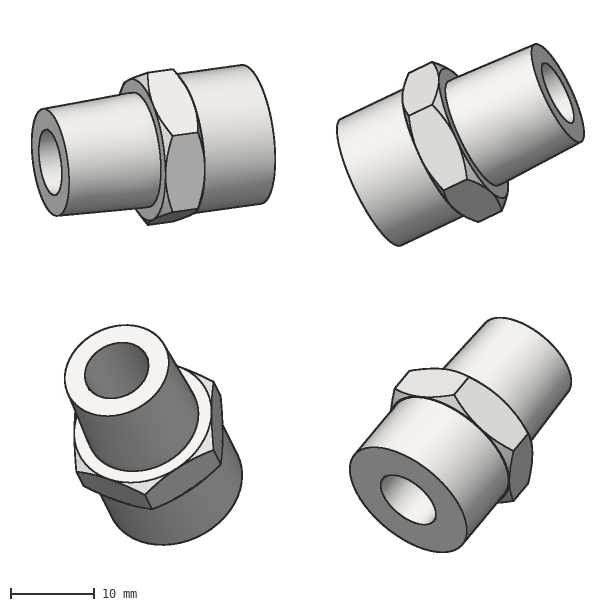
import cadquery as cq
import math

across_flats = 17.0
across_corners = across_flats / math.cos(math.radians(30))
hex_width = 5.0
chamfer_circle_diameter = 17.0
chamfer_length = 0.9

rear_diameter = 16.75
rear_length = 9.0

spigot_diameter = 13.8
spigot_tip_diameter = 12.9
spigot_length = 11.5
spigot_straight_length = 0.85

bore_diameter = 7.9

tip_y = 0.0
hex_front_y = tip_y + spigot_length
taper_end_y = hex_front_y - spigot_straight_length
hex_rear_y = hex_front_y + hex_width
rear_end_y = hex_rear_y + rear_length


def revolve_about_y(points):
    """Revolve a closed (radius, y) outline around the Y axis."""
    return cq.Workplane("XY").polyline(points).close().revolve(360, (0, 0, 0), (0, 1, 0))


def cylinder_along_y(diameter, start_y, end_y):
    return revolve_about_y([
        (0, start_y),
        (diameter / 2, start_y),
        (diameter / 2, end_y),
        (0, end_y),
    ])


def make_hex():
    """Hexagon with corners at top and bottom, its corners turned off conically."""
    prism = (
        cq.Workplane("XZ", origin=(0, hex_rear_y, 0))
        .transformed(rotate=(0, 0, 90))
        .polygon(6, across_corners)
        .extrude(hex_width)
    )
    turned_blank = revolve_about_y([
        (0, hex_front_y),
        (chamfer_circle_diameter / 2, hex_front_y),
        (across_corners / 2, hex_front_y + chamfer_length),
        (across_corners / 2, hex_rear_y - chamfer_length),
        (chamfer_circle_diameter / 2, hex_rear_y),
        (0, hex_rear_y),
    ])
    return prism.intersect(turned_blank)


def make_spigot():
    """Tapered spigot with a short straight neck against the hex."""
    return revolve_about_y([
        (0, tip_y),
        (spigot_tip_diameter / 2, tip_y),
        (spigot_diameter / 2, taper_end_y),
        (spigot_diameter / 2, hex_front_y),
        (0, hex_front_y),
    ])


rear_cylinder = cylinder_along_y(rear_diameter, hex_rear_y, rear_end_y)
bore = cylinder_along_y(bore_diameter, tip_y, rear_end_y)

result = make_hex().union(make_spigot()).union(rear_cylinder).cut(bore)